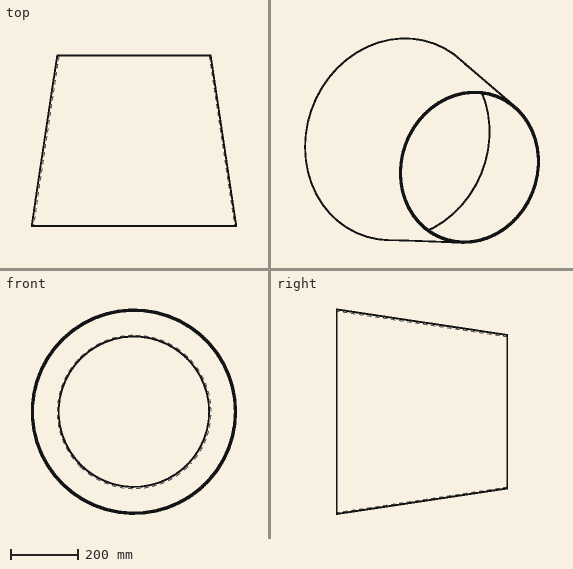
import cadquery as cq
import math

LARGE_DIAMETER = 609.6
SMALL_DIAMETER = 457.2
LENGTH = 508.0
WALL = 5.0

large_radius = LARGE_DIAMETER / 2
small_radius = SMALL_DIAMETER / 2
half_angle = math.atan((large_radius - small_radius) / LENGTH)
radial_wall = WALL / math.cos(half_angle)


def reducer_shell():
    """Revolve the slanted wall section about the Y axis."""
    wall_section = (
        cq.Workplane("XY")
        .moveTo(large_radius - radial_wall, 0)
        .lineTo(large_radius, 0)
        .lineTo(small_radius, LENGTH)
        .lineTo(small_radius - radial_wall, LENGTH)
        .close()
    )
    return wall_section.revolve(360, (0, 0, 0), (0, 1, 0))


result = reducer_shell()